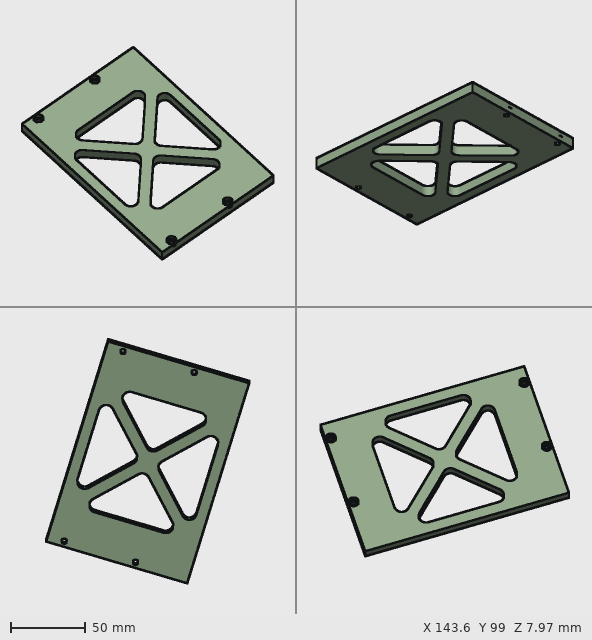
import cadquery as cq
import math

plate_length = 143.63
plate_width = 99.0
plate_thickness = 7.97

opening_length = 86.2
opening_width = 83.4
rib_width = 8.2
window_corner_radius = 5.0

hole_diameter = 3.4
counterbore_diameter = 6.5
counterbore_depth = 3.2
hole_edge_distance = 3.75
hole_spacing = 50.0
hole_row_offset = -13.0


def make_plate():
    return cq.Workplane("XY").box(
        plate_length, plate_width, plate_thickness, centered=(True, True, False)
    )


def make_windows():
    """Cutter for the opening, less the diagonal ribs that cross it."""
    opening = cq.Workplane("XY").box(
        opening_length, opening_width, plate_thickness, centered=(True, True, False)
    )
    diagonal_length = math.hypot(opening_length, opening_width)
    diagonal_angle = math.degrees(math.atan2(opening_width, opening_length))
    rib = cq.Workplane("XY").box(
        diagonal_length + 2 * rib_width, rib_width, plate_thickness, centered=(True, True, False)
    )
    for angle in (diagonal_angle, -diagonal_angle):
        opening = opening.cut(rib.rotate((0, 0, 0), (0, 0, 1), angle))
    return opening.edges("|Z").fillet(window_corner_radius)


def cut_screw_holes(body):
    hole_x = plate_length / 2 - hole_edge_distance
    centers = [
        (side_x, hole_row_offset + side_y)
        for side_x in (-hole_x, hole_x)
        for side_y in (-hole_spacing / 2, hole_spacing / 2)
    ]
    return (
        body.faces(">Z")
        .workplane(origin=(0, 0, plate_thickness))
        .pushPoints(centers)
        .cboreHole(hole_diameter, counterbore_diameter, counterbore_depth)
    )


result = cut_screw_holes(make_plate().cut(make_windows()))